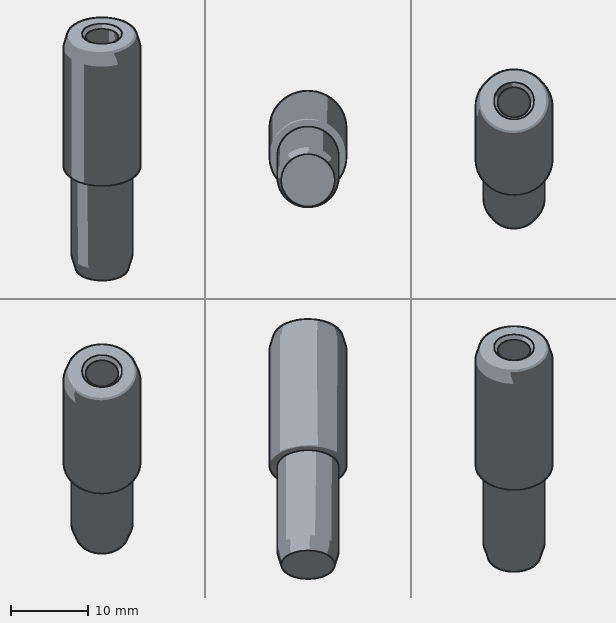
import cadquery as cq
import math

total_length = 35.0
head_diameter = 10.0
shank_diameter = 7.98
shank_length = 15.0
taper_angle = math.radians(15)
taper_height = 2.0
head_edge_fillet = 0.5
shoulder_fillet = 0.2
bore_diameter = 4.2
bore_depth = 12.0
bore_chamfer = 0.5
drill_point_angle = math.radians(118)

head_radius = head_diameter / 2
shank_radius = shank_diameter / 2
bore_radius = bore_diameter / 2
taper_inset = taper_height * math.tan(taper_angle)
drill_point_height = bore_radius / math.tan(drill_point_angle / 2)


def stepped_pin():
    """Head and shank, each tapered towards its free end."""
    profile = (
        cq.Workplane("XZ")
        .moveTo(0, 0)
        .lineTo(shank_radius - taper_inset, 0)
        .lineTo(shank_radius, taper_height)
        .lineTo(shank_radius, shank_length)
        .lineTo(head_radius - shoulder_fillet, shank_length)
        .tangentArcPoint((head_radius, shank_length + shoulder_fillet), relative=False)
        .lineTo(head_radius, total_length - taper_height)
        .lineTo(head_radius - taper_inset, total_length)
        .lineTo(0, total_length)
        .close()
    )
    pin = profile.revolve(360, (0, 0, 0), (0, 1, 0))
    return pin.faces(">Z").edges().fillet(head_edge_fillet)


def blind_bore():
    """Drilled hole with a conical bottom and a chamfered mouth."""
    bore_floor = total_length - bore_depth
    profile = (
        cq.Workplane("XZ")
        .moveTo(0, bore_floor - drill_point_height)
        .lineTo(bore_radius, bore_floor)
        .lineTo(bore_radius, total_length - bore_chamfer)
        .lineTo(bore_radius + bore_chamfer, total_length)
        .lineTo(0, total_length)
        .close()
    )
    return profile.revolve(360, (0, 0, 0), (0, 1, 0))


result = stepped_pin().cut(blind_bore())